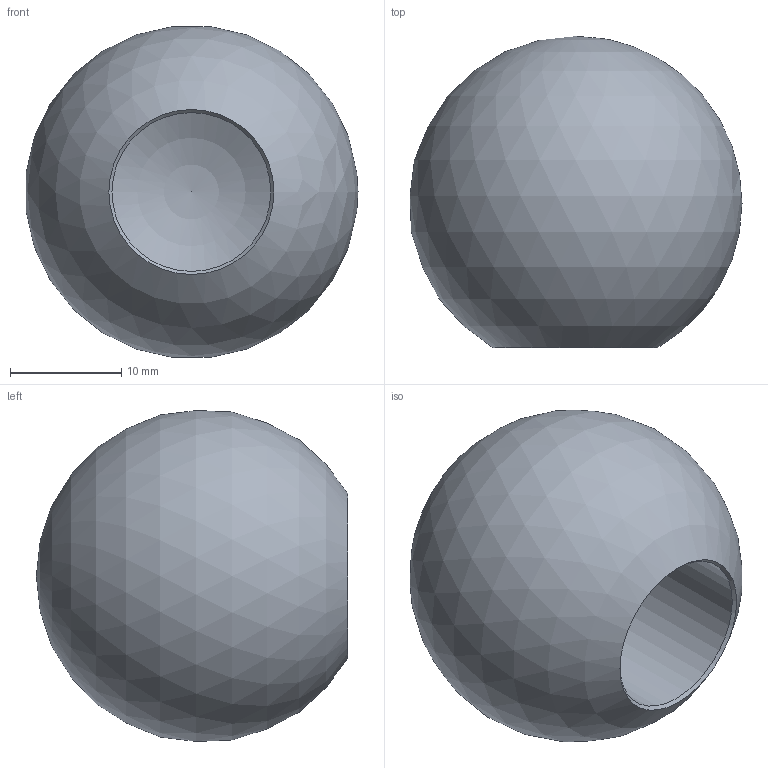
import cadquery as cq
import math

ball_diameter = 30.0
bore_diameter = 14.3
mouth_chamfer = 0.28
back_wall = 10.0

ball_radius = ball_diameter / 2
bore_radius = bore_diameter / 2
mouth_radius = bore_radius + mouth_chamfer
mouth_y = -math.sqrt(ball_radius**2 - mouth_radius**2)

floor_centre_y = -back_wall
floor_apex_y = floor_centre_y + ball_radius
floor_rim_y = floor_centre_y + math.sqrt(ball_radius**2 - bore_radius**2)

floor_mid_angle = math.asin(bore_radius / ball_radius) / 2
floor_mid_point = (
    ball_radius * math.sin(floor_mid_angle),
    floor_centre_y + ball_radius * math.cos(floor_mid_angle),
)


def half_section():
    """Closed half section in the XY plane, from the bore axis outwards."""
    return (
        cq.Workplane("XY")
        .moveTo(0, floor_apex_y)
        .threePointArc(floor_mid_point, (bore_radius, floor_rim_y))
        .lineTo(bore_radius, mouth_y + mouth_chamfer)
        .lineTo(mouth_radius, mouth_y)
        .threePointArc((ball_radius, 0), (0, ball_radius))
        .close()
    )


result = half_section().revolve(360, (0, 0, 0), (0, 1, 0))